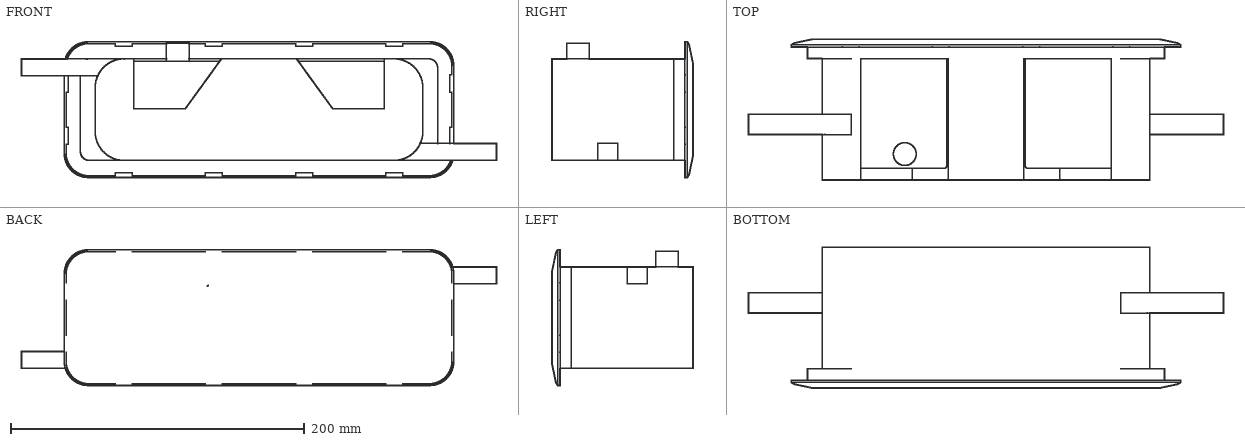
import cadquery as cq


box_half_width = 111.7
box_half_height = 34.5
box_corner_radius = 19.7
box_depth = 83.0

flange_half_width = 121.7
flange_corner_radius = 6.0
flange_depth = 7.8

total_depth = 96.0
cover_half_width = 132.7
cover_half_height = 46.3
cover_corner_radius = 16.5
rim_thickness = 1.5
dome_shoulder_inset = 2.3
dome_shoulder_height = 1.3
dome_top_inset = 14.5
dome_top_corner_radius = 15.5

lip_width = 1.3
notch_length = 11.5
long_side_notch_inset = 3.2
short_side_notch_inset = 2.5
long_side_notch_spacing = 61.5
long_side_notch_count = 4
short_side_notch_spacing = 35.5
short_side_notch_count = 2

recess_outer_x = 85.5
recess_inner_x_top = 25.5
recess_inner_x_bottom = 50.2
recess_bottom_z = 0.5
step_front_y = 8.0
recess_floor_drop = 1.5
step_edge_fillet = 2.0

pin_x = -55.5
pin_y = 17.8
pin_radius = 7.8
pin_top_z = 45.3

bar_end_x = 162.0
bar_front_y = 31.0
bar_depth = 14.0
bar_height = 11.5

cover_back_y = box_depth + flange_depth
rim_end_y = cover_back_y + rim_thickness
bar_inner_x = box_half_width - box_corner_radius
recess_floor_z = box_half_height - recess_floor_drop


def rounded_slab(half_width, half_height, radius, start_y, depth):
    """Rounded rectangle in XZ, extruded toward +Y from start_y."""
    return (
        cq.Workplane("XZ", origin=(0, start_y, 0))
        .rect(2 * half_width, 2 * half_height)
        .extrude(-depth)
        .edges("|Y")
        .fillet(radius)
    )


def block(x_range, y_range, z_range):
    """Axis-aligned box between the given limits."""
    sizes = [high - low for low, high in (x_range, y_range, z_range)]
    corner = (x_range[0], y_range[0], z_range[0])
    return cq.Workplane("XY").box(*sizes, centered=False).translate(corner)


def centred_row(count, spacing):
    """Evenly spaced positions centred on zero."""
    return [(i - (count - 1) / 2) * spacing for i in range(count)]


def make_back_plate():
    """Plate behind the flange, with shallow notches along its four sides."""
    plate = rounded_slab(
        cover_half_width - lip_width,
        cover_half_height - lip_width,
        cover_corner_radius - lip_width,
        cover_back_y,
        rim_thickness,
    )
    plane = cq.Workplane("XZ", origin=(0, cover_back_y, 0))
    long_side_points = [
        (x, side * cover_half_height)
        for x in centred_row(long_side_notch_count, long_side_notch_spacing)
        for side in (-1, 1)
    ]
    short_side_points = [
        (side * cover_half_width, z)
        for z in centred_row(short_side_notch_count, short_side_notch_spacing)
        for side in (-1, 1)
    ]
    long_notches = plane.pushPoints(long_side_points).rect(
        notch_length, 2 * long_side_notch_inset
    )
    plate = plate.cut(long_notches.extrude(-rim_thickness))
    short_notches = plane.pushPoints(short_side_points).rect(
        2 * short_side_notch_inset, notch_length
    )
    return plate.cut(short_notches.extrude(-rim_thickness))


def make_step():
    """Step left standing in a recess: its top is the recess floor, with a rounded front edge."""
    step = block(
        (-recess_outer_x, -recess_inner_x_top),
        (step_front_y, box_depth),
        (recess_bottom_z, recess_floor_z),
    )
    return step.edges(">Z and <Y").fillet(step_edge_fillet)


def make_recess():
    """Space removed from the left half of the box top."""
    trapezoid = (
        cq.Workplane("XZ")
        .polyline(
            [
                (-recess_outer_x, box_half_height),
                (-recess_inner_x_top, box_half_height),
                (-recess_inner_x_bottom, recess_bottom_z),
                (-recess_outer_x, recess_bottom_z),
            ]
        )
        .close()
        .extrude(-box_depth)
    )
    return trapezoid.cut(make_step())


def make_bar(side):
    """Bar at one end: flush with the box top on the left, with the box bottom on the right."""
    x_range = sorted((side * bar_inner_x, side * bar_end_x))
    z_range = sorted((-side * box_half_height, -side * (box_half_height - bar_height)))
    return block(x_range, (bar_front_y, bar_front_y + bar_depth), z_range)


def make_housing(back_plate, bars):
    """Box, flange and back plate, with both recesses and a seat for each bar."""
    box = rounded_slab(box_half_width, box_half_height, box_corner_radius, 0, box_depth)
    flange = rounded_slab(
        flange_half_width, box_half_height, flange_corner_radius, box_depth, flange_depth
    )
    housing = box.union(flange).union(back_plate).clean()
    recess = make_recess()
    housing = housing.cut(recess).cut(recess.mirror("YZ"))
    for bar in bars:
        housing = housing.cut(bar)
    return housing


def dome_section(inset, radius):
    """Rounded rectangle set in from the rim outline."""
    outline = cq.Sketch().rect(2 * (cover_half_width - inset), 2 * (cover_half_height - inset))
    return outline.vertices().fillet(radius)


def dome_layer(start_y, start_section, height, end_section):
    """Straight-sided layer of the dome between two sections."""
    raised_end = end_section.moved(cq.Location(cq.Vector(0, 0, -height)))
    plane = cq.Workplane("XZ", origin=(0, start_y, 0))
    return plane.placeSketch(start_section, raised_end).loft(ruled=True)


def make_cover(back_plate):
    """Rim with a dome in two slopes, hollowed at the back for the housing's back plate."""
    rim = rounded_slab(
        cover_half_width, cover_half_height, cover_corner_radius, cover_back_y, rim_thickness
    )
    edge = dome_section(0, cover_corner_radius)
    shoulder = dome_section(dome_shoulder_inset, cover_corner_radius)
    top = dome_section(dome_top_inset, dome_top_corner_radius)
    shoulder_layer = dome_layer(rim_end_y, edge, dome_shoulder_height, shoulder)
    shoulder_y = rim_end_y + dome_shoulder_height
    top_layer = dome_layer(shoulder_y, shoulder, total_depth - shoulder_y, top)
    dome = shoulder_layer.union(top_layer)
    return rim.union(dome).cut(back_plate)


def make_pin():
    """Upright pin ending on the recess floor."""
    plane = cq.Workplane("XY", origin=(pin_x, pin_y, recess_floor_z))
    return plane.circle(pin_radius).extrude(pin_top_z - recess_floor_z)


back_plate = make_back_plate()
bars = [make_bar(side) for side in (-1, 1)]
housing = make_housing(back_plate, bars)
cover = make_cover(back_plate)
pin = make_pin()

result = cq.Compound.makeCompound(
    [housing.val(), cover.val(), pin.val(), *[bar.val() for bar in bars]]
)